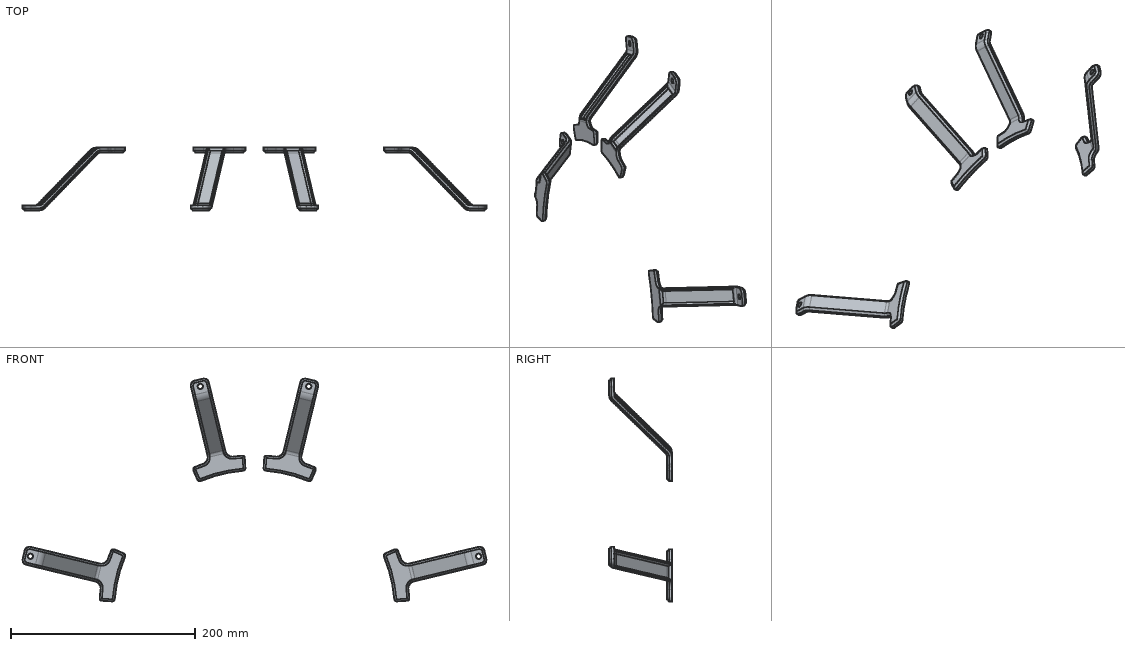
import cadquery as cq
import math

TILT = 13.6
BRACKET_ANGLES = (-90 + TILT, -TILT, TILT, 90 - TILT)

FOOT_INNER_RADIUS = 152.0
FOOT_WIDTH = 16.5
FOOT_HALF_ANGLE = 10.0
FOOT_OUTER_RADIUS = FOOT_INNER_RADIUS + FOOT_WIDTH
FOOT_MIDDLE_RADIUS = FOOT_INNER_RADIUS + FOOT_WIDTH / 2
FOOT_END_FILLET = 3.0
FOOT_ARM_FILLET = 7.5

THICKNESS = 5.5
ARM_WIDTH = 20.0
TIP = 258.0
TIP_FILLET = 5.5
HOLE_DIAMETER = 5.5
HOLE_TO_TIP = 7.5

BEND_ANGLE = 45.0
DEPTH = 68.5
RISE = DEPTH - THICKNESS
LOWER_BEND = 176.0
UPPER_BEND = LOWER_BEND + RISE / math.tan(math.radians(BEND_ANGLE))
INNER_BEND_RADIUS = 5.0
OUTER_BEND_RADIUS = INNER_BEND_RADIUS + THICKNESS

RIM_WIDTH = 1.5
FLOOR_THICKNESS = 2.0
CHANNEL_CHAMFER = 2.0

EDGE_CHAMFER = 2.5
PICK_MARGIN = 0.5


def ring_point(radius, angle):
    """Point (x, z) at a radius and an angle in degrees from the Z axis."""
    turn = math.radians(angle)
    return radius * math.sin(turn), radius * math.cos(turn)


def edges_along_y_near(x, z):
    """Selector for the Y-parallel edge through (x, z)."""
    low = (x - PICK_MARGIN, -2 * DEPTH, z - PICK_MARGIN)
    high = (x + PICK_MARGIN, DEPTH, z + PICK_MARGIN)
    return cq.selectors.BoxSelector(low, high)


def edges_along_x_near(y, z):
    """Selector for the X-parallel edge through (y, z)."""
    low = (-TIP, y - PICK_MARGIN, z - PICK_MARGIN)
    high = (TIP, y + PICK_MARGIN, z + PICK_MARGIN)
    return cq.selectors.BoxSelector(low, high)


def t_outline():
    """T-shaped prism along Y: curved foot, straight arm and rounded tip."""
    inner_left = ring_point(FOOT_INNER_RADIUS, -FOOT_HALF_ANGLE)
    inner_right = ring_point(FOOT_INNER_RADIUS, FOOT_HALF_ANGLE)
    outer_left = ring_point(FOOT_OUTER_RADIUS, -FOOT_HALF_ANGLE)
    outer_right = ring_point(FOOT_OUTER_RADIUS, FOOT_HALF_ANGLE)
    foot = (
        cq.Workplane("XZ")
        .moveTo(*inner_left)
        .threePointArc((0, FOOT_INNER_RADIUS), inner_right)
        .lineTo(*outer_right)
        .threePointArc((0, FOOT_OUTER_RADIUS), outer_left)
        .close()
        .extrude(DEPTH)
    )
    for corner in (inner_left, inner_right, outer_left, outer_right):
        foot = foot.edges("|Y").edges(edges_along_y_near(*corner)).fillet(FOOT_END_FILLET)

    arm_length = TIP - FOOT_MIDDLE_RADIUS
    arm = (
        cq.Workplane("XZ")
        .center(0, FOOT_MIDDLE_RADIUS + arm_length / 2)
        .rect(ARM_WIDTH, arm_length)
        .extrude(DEPTH)
        .edges("|Y and >Z")
        .fillet(TIP_FILLET)
    )

    outline = foot.union(arm)
    half_width = ARM_WIDTH / 2
    joint_height = math.sqrt(FOOT_OUTER_RADIUS**2 - half_width**2)
    for side in (-half_width, half_width):
        joint = edges_along_y_near(side, joint_height)
        outline = outline.edges("|Y").edges(joint).fillet(FOOT_ARM_FILLET)
    return outline


def bent_sheet(thickness):
    """Wide sheet with two opposite bends, its front face on the front of the bracket."""
    bend_shift = thickness * math.tan(math.radians(BEND_ANGLE / 2))
    foot_back = thickness - THICKNESS
    tab_back = thickness - DEPTH
    front_lower = (-THICKNESS, LOWER_BEND)
    front_upper = (-DEPTH, UPPER_BEND)
    back_lower = (foot_back, LOWER_BEND + bend_shift)
    back_upper = (tab_back, UPPER_BEND + bend_shift)
    sheet = (
        cq.Workplane("YZ")
        .polyline([
            (foot_back, 0),
            (-THICKNESS, 0),
            front_lower,
            front_upper,
            (-DEPTH, TIP),
            (tab_back, TIP),
            back_upper,
            back_lower,
        ])
        .close()
        .extrude(FOOT_INNER_RADIUS, both=True)
    )
    bends = (
        (front_lower, INNER_BEND_RADIUS),
        (back_lower, INNER_BEND_RADIUS + thickness),
        (front_upper, OUTER_BEND_RADIUS),
        (back_upper, OUTER_BEND_RADIUS - thickness),
    )
    for corner, radius in bends:
        sheet = sheet.edges("|X").edges(edges_along_x_near(*corner)).fillet(radius)
    return sheet


def arm_channel():
    """Cutter for the channel in the back of the arm, its floor parallel to the front."""
    block = (
        cq.Workplane("XY", origin=(0, -DEPTH / 2, LOWER_BEND))
        .rect(ARM_WIDTH - 2 * RIM_WIDTH, DEPTH)
        .extrude(UPPER_BEND - LOWER_BEND)
    )
    channel = block.cut(bent_sheet(FLOOR_THICKNESS)).solids(">Y")
    floor_middle = (0, -(DEPTH + THICKNESS) / 2, (LOWER_BEND + UPPER_BEND) / 2)
    floor = cq.selectors.NearestToPointSelector(floor_middle)
    return channel.faces(floor).edges("not |X").chamfer(CHANNEL_CHAMFER)


def tab_hole():
    """Cutter for the screw hole through the tab."""
    return cq.Workplane("XZ").center(0, TIP - HOLE_TO_TIP).circle(HOLE_DIAMETER / 2).extrude(DEPTH)


def make_bracket():
    """One bracket with its arm along Z and its foot resting on the plane Y = 0."""
    bracket = bent_sheet(THICKNESS).intersect(t_outline())
    foot_front = cq.selectors.NearestToPointSelector((0, -THICKNESS, FOOT_MIDDLE_RADIUS))
    bracket = bracket.faces(foot_front).edges("not |X").chamfer(EDGE_CHAMFER)
    return bracket.cut(arm_channel()).cut(tab_hole())


upright_bracket = make_bracket()
brackets = []
for angle in BRACKET_ANGLES:
    brackets.append(upright_bracket.rotate((0, 0, 0), (0, 1, 0), angle).val())

result = cq.Compound.makeCompound(brackets)